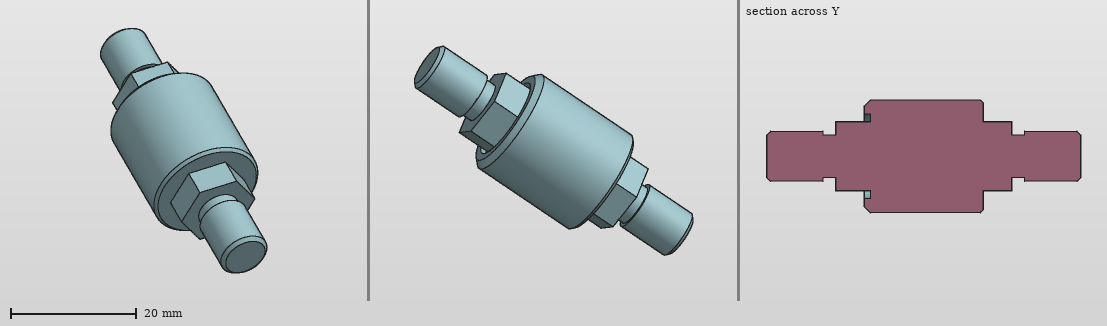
import cadquery as cq
import math

total_length = 50.0

body_diameter = 18.0
body_length = 19.0
body_left_chamfer = 1.0
body_right_chamfer = 0.5

recess_diameter = 13.4
recess_depth = 1.0

hex_sides = 6
hex_across_flats = 11.0
hex_end_offset = 11.0

stud_diameter = 8.0
stud_length = 9.0
stud_tip_diameter = 6.8
neck_diameter = 6.8

half_length = total_length / 2
body_left_x = -body_length / 2
hex_across_corners = hex_across_flats / math.cos(math.pi / hex_sides)
hex_face_x = half_length - hex_end_offset
stud_inner_x = half_length - stud_length
stud_chamfer = (stud_diameter - stud_tip_diameter) / 2


def cylinder_along_x(diameter, x_start, length):
    """Solid cylinder on the X axis, running from x_start toward +X."""
    return cq.Workplane("YZ", origin=(x_start, 0, 0)).circle(diameter / 2).extrude(length)


def make_body():
    """Round housing, chamfered at both ends and recessed in its left face."""
    body = cylinder_along_x(body_diameter, body_left_x, body_length)
    body = body.faces("<X").edges().chamfer(body_left_chamfer)
    body = body.faces(">X").edges().chamfer(body_right_chamfer)
    return body.cut(cylinder_along_x(recess_diameter, body_left_x, recess_depth))


def make_hexagon_bar():
    """Hexagon bar through the body, with corners on +Y and -Y."""
    return (
        cq.Workplane("YZ", origin=(-hex_face_x, 0, 0))
        .polygon(hex_sides, hex_across_corners)
        .extrude(2 * hex_face_x)
    )


def make_stud():
    """Right-hand stud with a chamfered tip and an undercut neck."""
    stud = cylinder_along_x(stud_diameter, stud_inner_x, stud_length)
    stud = stud.faces(">X").edges().chamfer(stud_chamfer)
    neck = cylinder_along_x(neck_diameter, hex_face_x, stud_inner_x - hex_face_x)
    return stud.union(neck)


right_stud = make_stud()
left_stud = right_stud.mirror("YZ")
result = make_body().union(make_hexagon_bar()).union(right_stud).union(left_stud)